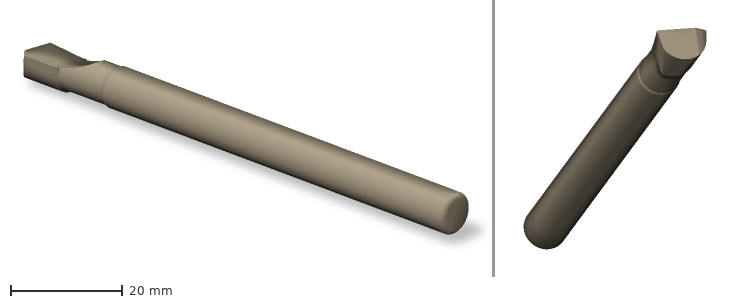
import cadquery as cq
import math


length = 100.0
shank_radius = 4.0
neck_radius = 7.5 / 2
neck_end = 20.0
shoulder_length = 0.5
flat_depth = 0.34
flat_height = shank_radius - flat_depth
end_fillet = 1.0

head_length = 9.8
head_radius = 4.8
head_offset_y = 1.0
head_offset_z = 0.03
head_back_chamfer = 0.5
head_wall_top = 2.5

rake_tilt = 10.0
rake_height = 1.1
ramp_start = 8.5
ramp_end = 16.2
ramp_overrun = 1.4
ramp_bow_radius = 11.0

tip_y = 5.9
flank_angle = 10.0
flank_relief = 11.0
front_relief = 6.0

insert_length = 6.4
insert_thickness = 2.4
insert_inner_y = -0.45
insert_corner_radius = 0.4

corner_start_y = -1.3
corner_mid_x = 0.9
corner_mid_y = -2.7
corner_end_x = 1.9
corner_end_y = -3.9

clearance = 20.0

tilt = math.radians(rake_tilt)
flank_slope = math.tan(math.radians(flank_angle))
tip_v = tip_y / math.cos(tilt)
rake_origin = cq.Vector(0, 0, rake_height)
rake_normal = cq.Vector(0, math.sin(tilt), math.cos(tilt))
rake_plane = cq.Plane(origin=rake_origin, xDir=cq.Vector(1, 0, 0), normal=rake_normal)


def bar_blank():
    """Revolved neck, shoulder and shank with a rounded rear end."""
    profile = (
        cq.Workplane("XY")
        .lineTo(0, neck_radius)
        .lineTo(neck_end, neck_radius)
        .lineTo(neck_end + shoulder_length, shank_radius)
        .lineTo(length, shank_radius)
        .lineTo(length, 0)
        .close()
    )
    bar = profile.revolve(360, (0, 0, 0), (1, 0, 0))
    return bar.faces(">X").edges().fillet(end_fillet)


def head_blank():
    """Eccentric cylinder with its rear edge chamfered and an upright wall above its -Y side."""
    blank = (
        cq.Workplane("YZ")
        .center(head_offset_y, head_offset_z)
        .circle(head_radius)
        .extrude(head_length)
    )
    blank = blank.faces(">X").edges().chamfer(head_back_chamfer)
    wall = (
        cq.Workplane("YZ", origin=(0, head_offset_y, head_offset_z))
        .rect(-head_radius, head_wall_top - head_offset_z, centered=False)
        .extrude(head_length)
    )
    return blank.union(wall)


def flat_cutter():
    """Block above the flat that runs along the top of the bar."""
    base = cq.Workplane("XY", origin=(0, 0, flat_height))
    return base.rect(2 * length + clearance, clearance).extrude(clearance)


def rake_cutter():
    """Space above the rake face, revolved so that its rear wall is the rising concave ramp."""
    run = ramp_end - ramp_start
    rise = flat_height - rake_height
    arc_radius = (run**2 + rise**2) / (2 * rise)
    sweep = math.atan2(run, arc_radius - rise)
    full_sweep = ramp_overrun * sweep
    axis_x = ramp_start - ramp_bow_radius

    def arc_point(angle):
        radius = ramp_bow_radius + arc_radius * math.sin(angle)
        return radius, arc_radius * (1 - math.cos(angle))

    top_radius, top_height = arc_point(full_sweep)
    section = cq.Plane(
        origin=rake_plane.toWorldCoords((axis_x, 0, 0)),
        xDir=rake_plane.xDir,
        normal=-rake_plane.yDir,
    )
    return (
        cq.Workplane(section)
        .lineTo(ramp_bow_radius, 0)
        .threePointArc(arc_point(full_sweep / 2), (top_radius, top_height))
        .lineTo(0, top_height)
        .close()
        .revolve(360, (0, 0, 0), (0, 1, 0))
    )


def front_cutter():
    """Wedge ahead of the front relief face, which leans back below the rake face."""
    lean = clearance * math.tan(math.radians(front_relief))
    section = cq.Plane(origin=rake_origin, xDir=rake_plane.xDir, normal=-rake_plane.yDir)
    return (
        cq.Workplane(section)
        .polyline([(lean, -clearance), (-lean, clearance), (-clearance, clearance), (-clearance, -clearance)])
        .close()
        .extrude(clearance, both=True)
    )


def flank_cutter():
    """Wedge outside the flank relief face, limited to the length of the head."""
    lean = clearance * math.tan(math.radians(flank_relief))
    along = (rake_plane.xDir - rake_plane.yDir * flank_slope).normalized()
    outward = rake_normal.cross(along)
    section = cq.Plane(origin=rake_plane.toWorldCoords((0, tip_v, 0)), xDir=outward, normal=along)
    wedge = (
        cq.Workplane(section)
        .polyline([(-lean, -clearance), (lean, clearance), (clearance, clearance), (clearance, -clearance)])
        .close()
        .extrude(clearance, both=True)
    )
    head_zone = cq.Workplane("YZ").rect(2 * clearance, 2 * clearance).extrude(head_length, both=True)
    return wedge.intersect(head_zone)


def corner_cutter():
    """Prism parallel to the front relief face that leaves the two corner facets."""
    lean = math.tan(math.radians(front_relief))
    prism_axis = (rake_normal - rake_plane.xDir * lean).normalized()
    section = cq.Plane(origin=rake_origin, xDir=rake_plane.yDir.cross(prism_axis), normal=prism_axis)
    return (
        cq.Workplane(section)
        .polyline([
            (0, corner_start_y),
            (corner_mid_x, corner_mid_y),
            (corner_end_x, corner_end_y),
            (corner_end_x, -clearance),
            (-clearance, -clearance),
            (-clearance, corner_start_y),
        ])
        .close()
        .extrude(clearance, both=True)
    )


def insert_blank():
    """Parallelogram plate below the rake face, rounded at its inner corner."""
    run_off = insert_length * flank_slope
    inner_v = insert_inner_y / math.cos(tilt)
    plate = (
        cq.Workplane(rake_plane)
        .polyline([
            (0, inner_v),
            (insert_length, inner_v - run_off),
            (insert_length, tip_v - run_off),
            (0, tip_v),
        ])
        .close()
        .extrude(-insert_thickness)
    )
    inner_corner = cq.selectors.NearestToPointSelector(
        rake_plane.toWorldCoords((insert_length, inner_v - run_off, -insert_thickness / 2)).toTuple()
    )
    return plate.edges(inner_corner).fillet(insert_corner_radius)


insert = insert_blank().cut(front_cutter()).cut(flank_cutter())

holder = bar_blank().union(head_blank())
for cutter in (flat_cutter(), rake_cutter(), front_cutter(), flank_cutter(), corner_cutter()):
    holder = holder.cut(cutter)
holder = holder.cut(insert)

result = cq.Compound.makeCompound([holder.val(), insert.val()])